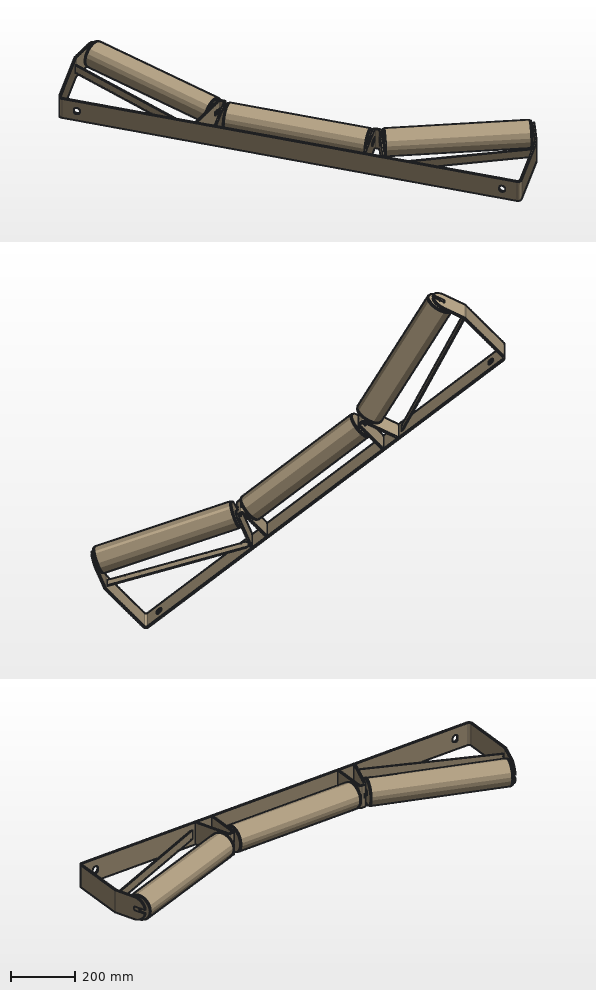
import cadquery as cq
import math

frame_length = 1490.0
assembly_height = 308.54
strip_width = 80.0
strip_thickness = 6.0
bend_radius = 9.5
plate_tip_drop = 8.0

wing_angle = 20.0
wing_center_x = 490.5
center_roller_y = 99.0

roller_length = 462.0
roller_diameter = 89.0
end_cap_length = 5.0
end_cap_step = 2.0
shaft_diameter = 20.0
shaft_flat_width = 14.0

frame_plate_gap = 4.0
saddle_plate_gap = 6.0
saddle_top_y = 125.0
saddle_bend_radius = 5.0

brace_width = 32.0
brace_thickness = 4.0
brace_arm_y = 187.0
brace_foot_x = 320.0

mounting_hole_width = 20.0
mounting_hole_height = 26.0
mounting_hole_x = 685.0

half_strip = strip_thickness / 2
roller_radius = roller_diameter / 2
half_roller = roller_length / 2
half_barrel = half_roller - end_cap_length
sin_wing = math.sin(math.radians(wing_angle))
cos_wing = math.cos(math.radians(wing_angle))
tan_wing = math.tan(math.radians(wing_angle))
wing_center_y = assembly_height - half_barrel * sin_wing - roller_radius * cos_wing
frame_plate = half_roller + frame_plate_gap + half_strip
saddle_plate = half_roller + saddle_plate_gap + half_strip
half_shaft = frame_plate + half_strip
arm_x = frame_length / 2 - half_strip
base_y = half_strip
outer_plate_x = -wing_center_x - frame_plate * cos_wing
outer_plate_y = wing_center_y + frame_plate * sin_wing
inner_plate_x = -wing_center_x + saddle_plate * cos_wing
inner_plate_y = wing_center_y - saddle_plate * sin_wing


def on_left_wing(body):
    """Move a body from the X axis, centered on the origin, onto the left wing axis."""
    tilted = body.rotate((0, 0, 0), (0, 0, 1), -wing_angle)
    return tilted.translate((-wing_center_x, wing_center_y, 0))


def on_center(body):
    """Move a body from the X axis, centered on the origin, onto the center roller axis."""
    return body.translate((0, center_roller_y, 0))


def mirrored(body):
    """Copy a body to the other side of the plane X = 0."""
    return body.mirror("YZ")


def axial_cylinder(radius, half_length):
    """Cylinder along X, centered on the origin."""
    start = cq.Workplane("YZ", origin=(-half_length, 0, 0))
    return start.circle(radius).extrude(2 * half_length)


def bent_strip(points, radius):
    """Strip of rectangular section, bent along the XY points at the middle of its thickness."""
    corners = [cq.Vector(x, y, 0) for x, y in points]
    path = cq.Wire.makePolygon(corners).fillet(radius, None)
    across = cq.Vector(0, 0, 1)
    section_plane = cq.Plane(corners[0], xDir=across, normal=corners[1] - corners[0])
    section = cq.Workplane(section_plane).rect(strip_width, strip_thickness)
    return section.sweep(path)


def make_roller():
    barrel = axial_cylinder(roller_radius, half_barrel)
    end_caps = axial_cylinder(roller_radius - end_cap_step, half_roller)
    shaft = axial_cylinder(shaft_diameter / 2, half_shaft)
    flats = cq.Workplane("XY").box(2 * half_shaft, shaft_diameter, shaft_flat_width)
    return barrel.union(end_caps).union(shaft.intersect(flats))


def make_shaft_slot(plate_distance):
    seat = axial_cylinder(shaft_diameter / 2, half_strip)
    flats = cq.Workplane("XY").box(strip_thickness, shaft_diameter, shaft_flat_width)
    opening = cq.Workplane("XY").box(
        strip_thickness, roller_diameter, shaft_flat_width, centered=(True, False, True)
    )
    slot = seat.intersect(flats).union(opening)
    return slot.translate((-plate_distance, 0, 0))


def make_shaft_clearance():
    shaft = axial_cylinder(shaft_diameter / 2, half_shaft)
    flats = cq.Workplane("XY").box(2 * half_shaft, shaft_diameter, shaft_flat_width)
    return shaft.intersect(flats)


def make_frame():
    bend_y = outer_plate_y - (outer_plate_x + arm_x) / tan_wing
    tip_x = outer_plate_x - plate_tip_drop * sin_wing
    tip_y = outer_plate_y - plate_tip_drop * cos_wing
    left_points = [(tip_x, tip_y), (-arm_x, bend_y), (-arm_x, base_y)]
    right_points = [(-x, y) for x, y in reversed(left_points)]
    frame = bent_strip(left_points + right_points, bend_radius)

    round_tip = axial_cylinder(strip_width / 2, half_strip)
    round_tip = on_left_wing(round_tip.translate((-frame_plate, -plate_tip_drop, 0)))
    shaft_slot = on_left_wing(make_shaft_slot(frame_plate))
    frame = frame.union(round_tip).union(mirrored(round_tip))
    frame = frame.cut(shaft_slot).cut(mirrored(shaft_slot))

    mounting_holes = (
        cq.Workplane("XZ")
        .pushPoints([(-mounting_hole_x, 0), (mounting_hole_x, 0)])
        .slot2D(mounting_hole_height, mounting_hole_width, 90)
        .extrude(-strip_thickness)
    )
    return frame.cut(mounting_holes)


def make_left_saddle():
    flange_y = saddle_top_y - half_strip
    flange_wing_x = inner_plate_x + (flange_y - inner_plate_y) * tan_wing
    foot_x = inner_plate_x + (base_y - inner_plate_y) * tan_wing
    points = [
        (-saddle_plate, base_y),
        (-saddle_plate, flange_y),
        (flange_wing_x, flange_y),
        (foot_x, base_y),
    ]
    saddle = bent_strip(points, saddle_bend_radius)
    base_cut = cq.Workplane("XY").box(frame_length, 2 * strip_thickness, strip_width)
    saddle = saddle.cut(base_cut)

    shaft_slot = make_shaft_slot(saddle_plate)
    saddle = saddle.cut(on_center(shaft_slot)).cut(on_left_wing(mirrored(shaft_slot)))
    clearance = make_shaft_clearance()
    return saddle.cut(on_center(clearance)).cut(on_left_wing(clearance))


def make_left_brace():
    arm_face_x = -frame_length / 2 + strip_thickness
    rise = brace_arm_y - strip_thickness
    run = -brace_foot_x - arm_face_x
    half_slant_y = brace_thickness / 2 * math.hypot(rise, run) / run
    half_slant_x = half_slant_y * run / rise
    outline = [
        (arm_face_x, brace_arm_y - half_slant_y),
        (-brace_foot_x - half_slant_x, strip_thickness),
        (-brace_foot_x + half_slant_x, strip_thickness),
        (arm_face_x, brace_arm_y + half_slant_y),
    ]
    return cq.Workplane("XY").polyline(outline).close().extrude(brace_width / 2, both=True)


bodies = [make_frame(), on_center(make_roller())]
for left_body in (make_left_saddle(), make_left_brace(), on_left_wing(make_roller())):
    bodies += [left_body, mirrored(left_body)]

result = cq.Compound.makeCompound([body.val() for body in bodies])